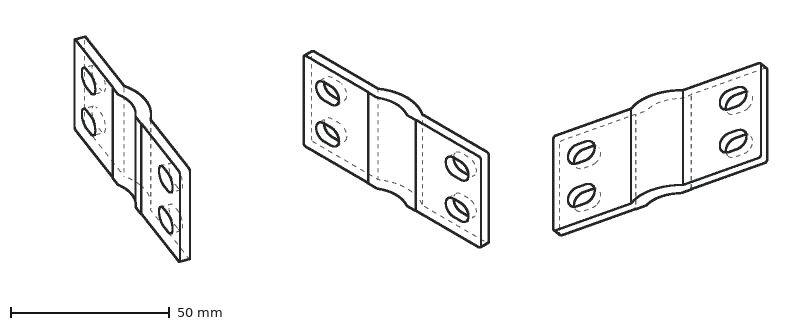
import cadquery as cq
import math

LENGTH = 78.5
HEIGHT = 35.4
THICKNESS = 3.5
CORNER_RADIUS = 1.0

SADDLE_WIDTH = 21.0
PAD_STEP = 0.15
TOTAL_DEPTH = 6.7
OUTER_RADIUS = 17.6
ARCH_WALL = 4.9
LIP_RADIUS = 1.9

SLOT_LENGTH = 10.05
SLOT_WIDTH = 7.0
SLOT_SPACING_X = 57.3
SLOT_SPACING_Z = 16.0

feet_y = -PAD_STEP
crown_y = TOTAL_DEPTH - PAD_STEP
arch_center_y = crown_y - OUTER_RADIUS
groove_radius = OUTER_RADIUS - ARCH_WALL


def make_plate():
    plate = cq.Workplane("XY").box(LENGTH, THICKNESS, HEIGHT)
    return plate.translate((0, THICKNESS / 2, 0)).edges("|Y").fillet(CORNER_RADIUS)


def make_saddle():
    half_width = SADDLE_WIDTH / 2
    arch_half_width = math.sqrt(OUTER_RADIUS**2 - (THICKNESS - arch_center_y) ** 2)

    lip_center_y = feet_y + LIP_RADIUS
    center_distance = groove_radius + LIP_RADIUS
    lip_x = math.sqrt(center_distance**2 - (lip_center_y - arch_center_y) ** 2)
    lip_angle = math.asin(lip_x / center_distance)
    groove_x = groove_radius * math.sin(lip_angle)
    groove_y = arch_center_y + groove_radius * math.cos(lip_angle)
    lip_mid_x = lip_x - LIP_RADIUS * math.sin(lip_angle / 2)
    lip_mid_y = lip_center_y - LIP_RADIUS * math.cos(lip_angle / 2)

    return (
        cq.Workplane("XY")
        .workplane(offset=-HEIGHT / 2)
        .moveTo(-half_width, feet_y)
        .lineTo(-lip_x, feet_y)
        .threePointArc((-lip_mid_x, lip_mid_y), (-groove_x, groove_y))
        .threePointArc((0, arch_center_y + groove_radius), (groove_x, groove_y))
        .threePointArc((lip_mid_x, lip_mid_y), (lip_x, feet_y))
        .lineTo(half_width, feet_y)
        .lineTo(half_width, THICKNESS)
        .lineTo(arch_half_width, THICKNESS)
        .threePointArc((0, crown_y), (-arch_half_width, THICKNESS))
        .lineTo(-half_width, THICKNESS)
        .close()
        .extrude(HEIGHT)
    )


def make_slots():
    return (
        cq.Workplane("XZ")
        .rarray(SLOT_SPACING_X, SLOT_SPACING_Z, 2, 2)
        .slot2D(SLOT_LENGTH, SLOT_WIDTH)
        .extrude(-THICKNESS)
    )


middle = cq.Workplane("XY").box(SADDLE_WIDTH, 2 * THICKNESS, HEIGHT)
middle = middle.translate((0, THICKNESS / 2, 0))
result = make_plate().cut(middle).union(make_saddle()).cut(make_slots())